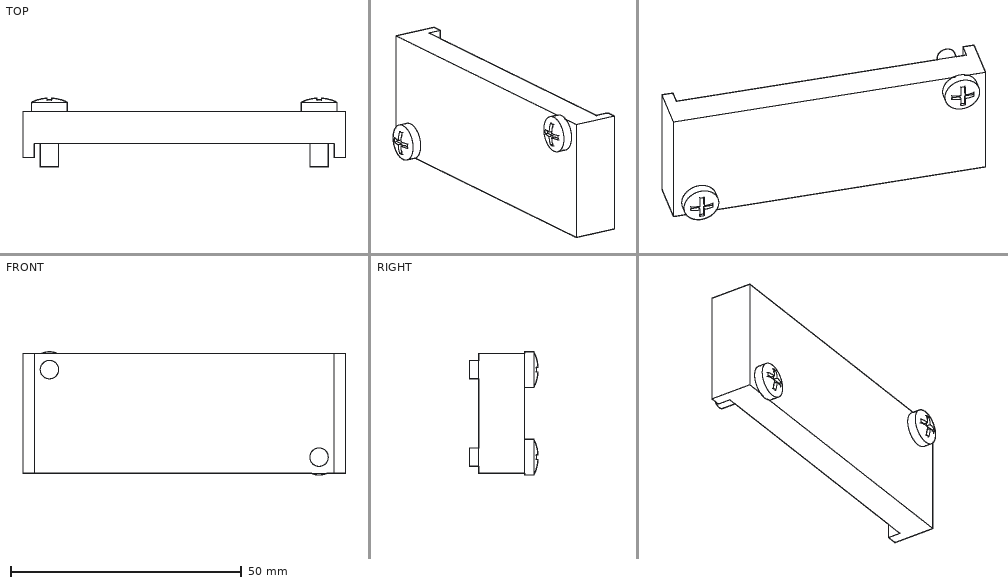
import cadquery as cq

plate_length = 70.0
plate_height = 26.0
plate_thickness = 7.0
rib_width = 2.5
rib_depth = 3.0

screw_offset_x = 29.25
screw_offset_z = 9.5
shank_diameter = 4.0
shank_projection = 2.0
head_diameter = 7.8
head_rim_height = 2.0
dome_height = 0.95

recess_width = 1.0
recess_span = 5.0
recess_depth = 1.0

rib_face_y = -(plate_thickness + rib_depth)
shank_tip_y = rib_face_y - shank_projection
rim_top_y = head_rim_height
dome_top_y = head_rim_height + dome_height


def make_plate():
    """Slab with its back face on Y = 0 and end ribs reaching toward -Y."""
    half_length = plate_length / 2
    half_inner = half_length - rib_width
    return (
        cq.Workplane("XY")
        .moveTo(-half_length, 0)
        .lineTo(half_length, 0)
        .lineTo(half_length, rib_face_y)
        .lineTo(half_inner, rib_face_y)
        .lineTo(half_inner, -plate_thickness)
        .lineTo(-half_inner, -plate_thickness)
        .lineTo(-half_inner, rib_face_y)
        .lineTo(-half_length, rib_face_y)
        .close()
        .extrude(plate_height / 2, both=True)
    )


def make_screw():
    """Screw on the Y axis: shank, cylindrical rim and spherical dome in one revolve."""
    shank_radius = shank_diameter / 2
    head_radius = head_diameter / 2
    dome_radius = (head_radius**2 + dome_height**2) / (2 * dome_height)
    mid_x = head_radius / 2
    mid_y = dome_top_y - dome_radius + (dome_radius**2 - mid_x**2) ** 0.5
    return (
        cq.Workplane("XY")
        .moveTo(0, shank_tip_y)
        .lineTo(shank_radius, shank_tip_y)
        .lineTo(shank_radius, 0)
        .lineTo(head_radius, 0)
        .lineTo(head_radius, rim_top_y)
        .threePointArc((mid_x, mid_y), (0, dome_top_y))
        .close()
        .revolve(360, (0, 0, 0), (0, 1, 0))
    )


def make_cross_recess():
    """Two crossed slots, parallel to X and Z, sunk from the top of the dome."""
    center = (0, dome_top_y - recess_depth / 2, 0)
    slot_x = cq.Workplane("XY").box(recess_span, recess_depth, recess_width)
    slot_z = cq.Workplane("XY").box(recess_width, recess_depth, recess_span)
    return slot_x.union(slot_z).translate(center)


screw = make_screw().cut(make_cross_recess())

result = make_plate()
for side in (-1, 1):
    result = result.union(screw.translate((side * screw_offset_x, 0, -side * screw_offset_z)))